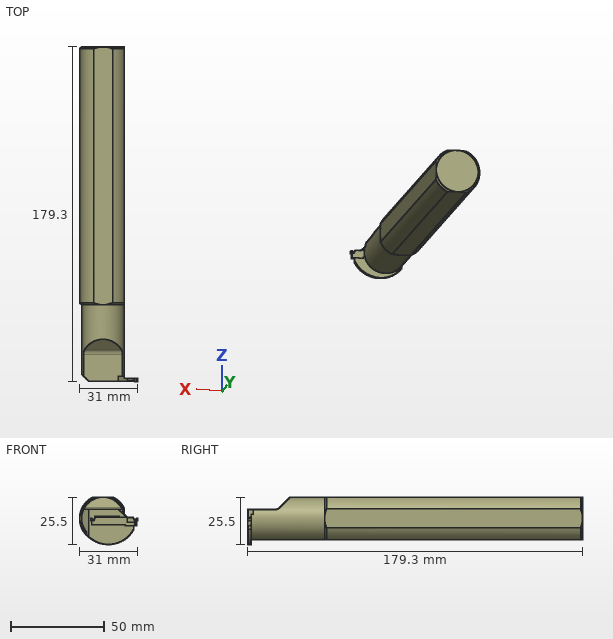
import cadquery as cq
import math

OVERALL_LENGTH = 179.3
OVERALL_HEIGHT = 25.5
INSERT_PROUD = 0.2
HOLDER_LENGTH = OVERALL_LENGTH - INSERT_PROUD

SHANK_RADIUS = 12.5
NECK_RADIUS = 11.5
FLAT_OFFSET = NECK_RADIUS
NECK_LENGTH = 41.0
CHAMFER = SHANK_RADIUS - NECK_RADIUS
CUT_SIZE = 4 * SHANK_RADIUS

FLAT_Z = 4.8
RAMP_START = 16.0
RAMP_ANGLE = 45.0
RAMP_FILLET = 3.5

BLADE_RADIUS = 15.5
BLADE_X = 2.9
BLADE_Z = NECK_RADIUS - OVERALL_HEIGHT + BLADE_RADIUS
BLADE_THICKNESS = 1.8
BLADE_RIGHT = 16.5
SIDE_CHAMFER = 4.0

RELIEF_DEPTH = 2.9
RELIEF_LEFT = 8.2
RELIEF_RIGHT = 13.1

INSERT_TOP = 0.5
INSERT_BOTTOM = -3.2
HEAD_BOTTOM = -3.8
HEAD_LEFT = 11.8
TIP_RIGHT = 18.5
TIP_LEFT = -6.5
TIP_LAND = 0.5
FLANK_INSET = 0.5
TIP_HEIGHT = 1.3
GROOVE_Z = -1.3
GROOVE_INSET = 1.5
GROOVE_WALL = 0.9
TIP_TOP = 0.0
SEAT_CLEARANCE = 0.5
CLEARANCE_LEFT = -4.3
CLEARANCE_RIGHT = 8.6
SIDE_RELIEF = 0.7
SIDE_RELIEF_FLOOR = -2.0
CUTTING_HEAD_X = 17.0


def block(left, right, front, back, low, high):
    size = (right - left, back - front, high - low)
    return cq.Workplane("XY").box(*size, centered=False).translate((left, front, low))


def front_plate(outline, front, back):
    """Extrude an X-Z outline from Y = front to Y = back."""
    plane = cq.Workplane("XZ", origin=(0, back, 0))
    return plane.polyline(outline).close().extrude(back - front)


def make_shank():
    profile = [
        (0, 0),
        (NECK_RADIUS, 0),
        (NECK_RADIUS, NECK_LENGTH),
        (SHANK_RADIUS, NECK_LENGTH + CHAMFER),
        (SHANK_RADIUS, HOLDER_LENGTH - CHAMFER),
        (SHANK_RADIUS - CHAMFER, HOLDER_LENGTH),
        (0, HOLDER_LENGTH),
    ]
    bar = cq.Workplane("XY").polyline(profile).close().revolve(360, (0, 0), (0, 1))
    keep = block(-SHANK_RADIUS, FLAT_OFFSET, 0, HOLDER_LENGTH, -FLAT_OFFSET, FLAT_OFFSET)
    return bar.intersect(keep)


def make_blade():
    disc = cq.Workplane("XZ", origin=(BLADE_X, BLADE_THICKNESS, BLADE_Z))
    disc = disc.circle(BLADE_RADIUS).extrude(BLADE_THICKNESS)
    keep = block(-CUT_SIZE, BLADE_RIGHT, 0, BLADE_THICKNESS, -CUT_SIZE, FLAT_Z)
    return disc.intersect(keep)


def make_front_flat_cutter():
    """Space above the front flat, bounded at the back by the filleted ramp."""
    angle = math.radians(RAMP_ANGLE)
    tangent = RAMP_FILLET * math.tan(angle / 2)
    ramp_rise = CUT_SIZE * math.tan(angle)
    flat_end = RAMP_START - tangent
    arc_mid = (
        flat_end + RAMP_FILLET * math.sin(angle / 2),
        FLAT_Z + RAMP_FILLET * (1 - math.cos(angle / 2)),
    )
    arc_end = (
        RAMP_START + tangent * math.cos(angle),
        FLAT_Z + tangent * math.sin(angle),
    )
    side = (
        cq.Workplane("YZ")
        .moveTo(-CUT_SIZE, FLAT_Z)
        .lineTo(flat_end, FLAT_Z)
        .threePointArc(arc_mid, arc_end)
        .lineTo(RAMP_START + CUT_SIZE, FLAT_Z + ramp_rise)
        .lineTo(-CUT_SIZE, FLAT_Z + ramp_rise)
        .close()
    )
    return side.extrude(CUT_SIZE, both=True)


def make_side_chamfer_cutter():
    corner = [
        (-NECK_RADIUS - CUT_SIZE, SIDE_CHAMFER + CUT_SIZE),
        (-NECK_RADIUS + SIDE_CHAMFER, 0),
        (-NECK_RADIUS - CUT_SIZE, 0),
    ]
    return cq.Workplane("XY").polyline(corner).close().extrude(CUT_SIZE, both=True)


def make_relief_cutter():
    outline = [
        (RELIEF_LEFT, FLAT_Z),
        (RELIEF_RIGHT, INSERT_TOP),
        (CUT_SIZE, INSERT_TOP),
        (CUT_SIZE, FLAT_Z),
    ]
    return front_plate(outline, 0, RELIEF_DEPTH)


def make_insert_blank(front):
    """Double-ended insert outline, with a raised tip and a chip groove at each end."""
    right_foot = TIP_RIGHT - GROOVE_INSET
    left_foot = TIP_LEFT + GROOVE_INSET
    outline = [
        (TIP_LEFT, TIP_TOP - TIP_HEIGHT),
        (TIP_LEFT + FLANK_INSET, TIP_TOP - TIP_HEIGHT),
        (TIP_LEFT + FLANK_INSET, INSERT_BOTTOM),
        (HEAD_LEFT, INSERT_BOTTOM),
        (HEAD_LEFT, HEAD_BOTTOM),
        (TIP_RIGHT - FLANK_INSET, HEAD_BOTTOM),
        (TIP_RIGHT - FLANK_INSET, TIP_TOP - TIP_HEIGHT),
        (TIP_RIGHT, TIP_TOP - TIP_HEIGHT),
        (TIP_RIGHT, TIP_TOP),
        (TIP_RIGHT - TIP_LAND, TIP_TOP),
        (right_foot, GROOVE_Z),
        (right_foot - GROOVE_WALL, INSERT_TOP),
        (left_foot + GROOVE_WALL, INSERT_TOP),
        (left_foot, GROOVE_Z),
        (TIP_LEFT + TIP_LAND, TIP_TOP),
        (TIP_LEFT, TIP_TOP),
    ]
    return front_plate(outline, front, BLADE_THICKNESS)


def make_holder():
    holder = make_shank().union(make_blade())
    holder = holder.cut(make_front_flat_cutter())
    holder = holder.cut(make_side_chamfer_cutter())
    holder = holder.cut(make_relief_cutter())
    free_end = block(RELIEF_RIGHT, CUT_SIZE, 0, BLADE_THICKNESS, HEAD_BOTTOM, FLAT_Z)
    holder = holder.cut(free_end)
    gap = block(CLEARANCE_LEFT, CLEARANCE_RIGHT, 0, BLADE_THICKNESS,
                INSERT_TOP, INSERT_TOP + SEAT_CLEARANCE)
    return holder.cut(make_insert_blank(0)).cut(gap)


def make_insert():
    insert = make_insert_blank(-INSERT_PROUD)
    proud_body = block(TIP_LEFT, CUTTING_HEAD_X, -INSERT_PROUD, 0, HEAD_BOTTOM, INSERT_TOP)
    side_relief = block(RELIEF_RIGHT, CUTTING_HEAD_X, 0, SIDE_RELIEF,
                        SIDE_RELIEF_FLOOR, INSERT_TOP)
    return insert.cut(proud_body).cut(side_relief)


holder = make_holder()
insert = make_insert()
result = cq.Compound.makeCompound([holder.val(), insert.val()])